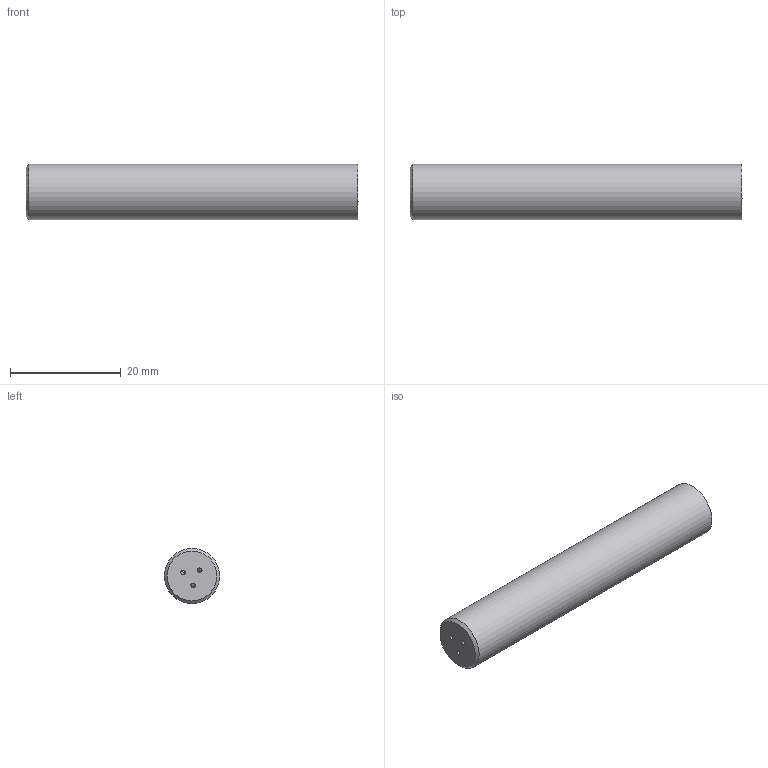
import cadquery as cq
import math

LENGTH = 60.0
DIAMETER = 10.0
CHAMFER = 0.5

CHANNEL_COUNT = 3
CHANNEL_DIAMETER = 0.8
CHANNEL_CIRCLE_RADIUS = 1.75
FIRST_CHANNEL_ANGLE = 23.0
HELIX_ANGLE = 40.0

HELIX_LEAD = math.pi * DIAMETER / math.tan(math.radians(HELIX_ANGLE))
TWIST_ANGLE = 360.0 * LENGTH / HELIX_LEAD


def blank():
    """Cylinder from X = 0 to X = LENGTH, chamfered at X = 0 only."""
    rod = cq.Workplane("YZ").circle(DIAMETER / 2).extrude(LENGTH)
    return rod.faces("<X").chamfer(CHAMFER)


def coolant_channel(start_angle):
    """Round channel twisted about the axis over the full length."""
    angle = math.radians(start_angle)
    center_y = CHANNEL_CIRCLE_RADIUS * math.cos(angle)
    center_z = CHANNEL_CIRCLE_RADIUS * math.sin(angle)
    section = cq.Workplane("YZ").moveTo(center_y, center_z).circle(CHANNEL_DIAMETER / 2)
    return section.twistExtrude(LENGTH, TWIST_ANGLE)


result = blank()
for index in range(CHANNEL_COUNT):
    channel_angle = FIRST_CHANNEL_ANGLE + index * 360.0 / CHANNEL_COUNT
    result = result.cut(coolant_channel(channel_angle))